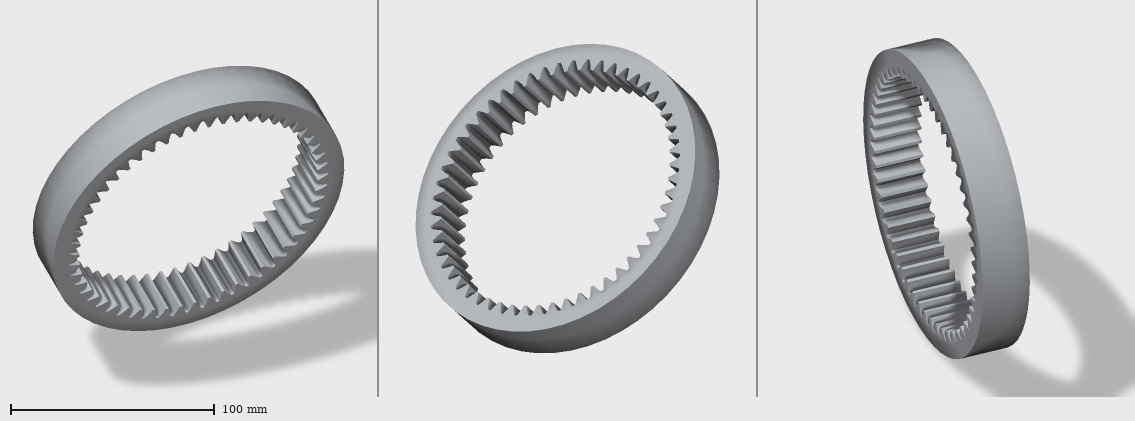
import cadquery as cq
import math


outer_diameter = 156.0
face_width = 25.0

tooth_count = 53
pitch_radius = 66.3
addendum = 2.5
dedendum = 3.1
tooth_thickness = 3.5
pressure_angle = math.radians(23)
flank_points = 5

tip_radius = pitch_radius - addendum
root_radius = pitch_radius + dedendum
base_radius = pitch_radius * math.cos(pressure_angle)
tooth_pitch = 2 * math.pi / tooth_count
pitch_gap_angle = tooth_pitch - tooth_thickness / pitch_radius

gap_start_radius = tip_radius - addendum / 4

gear_plane = cq.Plane(origin=(-face_width / 2, 0, 0), xDir=(0, 0, 1), normal=(1, 0, 0))
first_gap_angle = math.pi / 2 + tooth_pitch / 2


def involute(angle):
    return math.tan(angle) - angle


def gap_half_angle(radius):
    """Half of the angle that a gap between two teeth spans at a radius."""
    flank_angle = math.acos(base_radius / radius)
    return pitch_gap_angle / 2 + involute(pressure_angle) - involute(flank_angle)


def polar_point(radius, angle):
    return (radius * math.cos(angle), radius * math.sin(angle))


def make_gap():
    """One tooth gap, centred on local x, with its root on the root circle."""
    radius_step = (root_radius - gap_start_radius) / (flank_points - 1)
    radii = [gap_start_radius + i * radius_step for i in range(flank_points)]
    lower_flank = [polar_point(r, -gap_half_angle(r)) for r in radii]
    upper_flank = [polar_point(r, gap_half_angle(r)) for r in reversed(radii)]
    return (
        cq.Workplane(gear_plane)
        .moveTo(*lower_flank[0])
        .spline(lower_flank[1:], includeCurrent=True)
        .threePointArc((root_radius, 0), upper_flank[0])
        .spline(upper_flank[1:], includeCurrent=True)
        .close()
        .extrude(face_width)
    )


def make_ring():
    return (
        cq.Workplane(gear_plane)
        .circle(outer_diameter / 2)
        .circle(tip_radius)
        .extrude(face_width)
    )


def cut_teeth(ring):
    """Cut every gap around the bore, leaving the teeth between them."""
    gap = make_gap()
    gaps = []
    for i in range(tooth_count):
        angle = math.degrees(first_gap_angle + i * tooth_pitch)
        gaps.append(gap.rotate((0, 0, 0), (1, 0, 0), angle).val())
    return ring.cut(cq.Workplane(obj=cq.Compound.makeCompound(gaps)))


result = cut_teeth(make_ring()).solids()